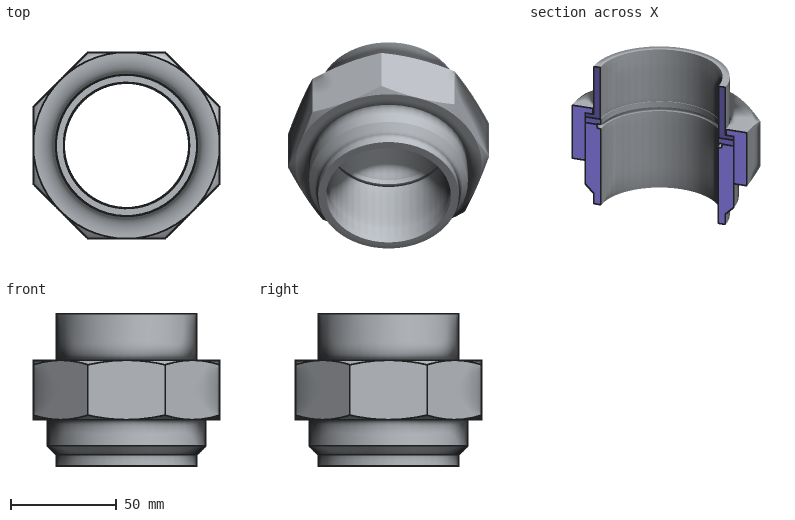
import cadquery as cq
import math


total_height = 72.0
spigot_top = 5.43
nut_bottom = 22.0
nut_top = 50.0
seat_floor = 40.0
ring_bottom = 42.0
ring_top = 45.0
nut_lip_thickness = 3.0

pipe_diameter = 66.5
body_diameter = 75.0
bore_diameter = 58.9
tail_bore_diameter = 59.6
seat_floor_diameter = 62.2
seat_taper_angle = 15.0

nut_sides = 8
nut_across_flats = 88.0
nut_chamfer_angle = 30.0
nut_pipe_clearance = 0.25

pipe_radius = pipe_diameter / 2
body_radius = body_diameter / 2
bore_radius = bore_diameter / 2
tail_bore_radius = tail_bore_diameter / 2
seat_floor_radius = seat_floor_diameter / 2
seat_rise = ring_bottom - seat_floor
seat_top_radius = seat_floor_radius + seat_rise * math.tan(math.radians(seat_taper_angle))
shoulder_height = spigot_top + (body_radius - pipe_radius)
flange_top = nut_top - nut_lip_thickness


def revolve_profile(points):
    """Turn a closed (radius, height) outline around the Z axis."""
    return cq.Workplane("XZ").polyline(points).close().revolve(360, (0, 0, 0), (0, 1, 0))


def make_socket_body():
    """Lower body: narrow end, sloping shoulder, cylinder, and a recessed seat at its top."""
    return revolve_profile([
        (bore_radius, 0),
        (pipe_radius, 0),
        (pipe_radius, spigot_top),
        (body_radius, shoulder_height),
        (body_radius, ring_bottom),
        (seat_top_radius, ring_bottom),
        (seat_floor_radius, seat_floor),
        (bore_radius, seat_floor),
    ])


def make_sealing_ring():
    """Flat ring between the socket body and the tailpiece."""
    return revolve_profile([
        (bore_radius, ring_bottom),
        (body_radius, ring_bottom),
        (body_radius, ring_top),
        (bore_radius, ring_top),
    ])


def make_tailpiece():
    """Upper pipe with a flange at its foot, held under the lip of the nut."""
    return revolve_profile([
        (tail_bore_radius, ring_top),
        (body_radius, ring_top),
        (body_radius, flange_top),
        (pipe_radius, flange_top),
        (pipe_radius, total_height),
        (tail_bore_radius, total_height),
    ])


def make_union_nut():
    """Octagonal nut with both ends chamfered, bored to hold the stack below its lip."""
    flat_radius = nut_across_flats / 2
    corner_radius = flat_radius / math.cos(math.pi / nut_sides)
    chamfer_drop = (corner_radius - flat_radius) * math.tan(math.radians(nut_chamfer_angle))
    prism = (
        cq.Workplane("XY", origin=(0, 0, nut_bottom))
        .transformed(rotate=(0, 0, 180 / nut_sides))
        .polygon(nut_sides, 2 * corner_radius)
        .extrude(nut_top - nut_bottom)
    )
    chamfered_bored_blank = revolve_profile([
        (body_radius, nut_bottom),
        (flat_radius, nut_bottom),
        (corner_radius, nut_bottom + chamfer_drop),
        (corner_radius, nut_top - chamfer_drop),
        (flat_radius, nut_top),
        (pipe_radius + nut_pipe_clearance, nut_top),
        (pipe_radius + nut_pipe_clearance, flange_top),
        (body_radius, flange_top),
    ])
    return prism.intersect(chamfered_bored_blank)


socket_body = make_socket_body()
sealing_ring = make_sealing_ring()
tailpiece = make_tailpiece()
union_nut = make_union_nut()

result = cq.Compound.makeCompound([
    socket_body.val(),
    sealing_ring.val(),
    tailpiece.val(),
    *union_nut.solids().vals(),
])